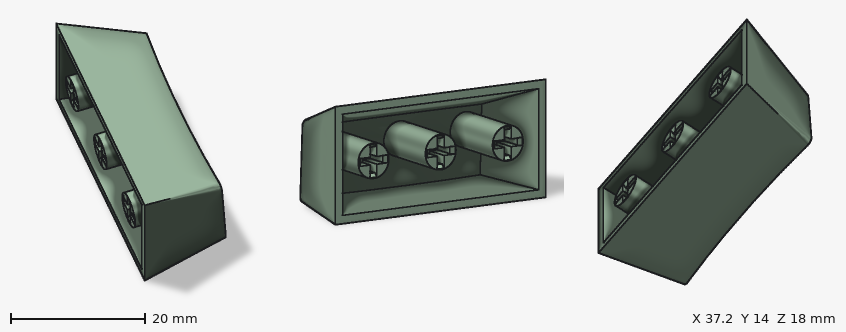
import cadquery as cq
import math

width = 37.15
height = 18.0
depth = 14.0

back_width = 31.95
back_low_z = 0.45
back_high_z = 13.4
back_high_y = 13.3
back_corner_radius = 1.0
rim_corner_radius = 0.02
dish_sag = 0.67

side_wall = 1.25
end_wall = 1.3
floor_width = 29.65
floor_low_z = 1.67
floor_high_z = 12.52
floor_low_y = 12.37
floor_high_y = 11.95
floor_sag = 0.55

stem_count = 3
stem_pitch = 11.85
stem_diameter = 5.42
stem_z = height / 2
slot_width = 1.2
slot_length = 3.98
slot_depth = 4.0
lead_in = 0.55


def section_plane(low, high):
    """Plane parallel to X through two (y, z) points, centred midway between them."""
    rise_y = high[0] - low[0]
    rise_z = high[1] - low[1]
    middle = (0, (low[0] + high[0]) / 2, (low[1] + high[1]) / 2)
    return cq.Plane(origin=middle, xDir=(1, 0, 0), normal=(0, -rise_z, rise_y))


def section(low, high, section_width, corner_radius=0):
    """Rectangle, optionally rounded, spanning two (y, z) points."""
    sketch = cq.Sketch().rect(section_width, math.dist(low, high))
    if corner_radius:
        sketch = sketch.vertices().fillet(corner_radius)
    return sketch.moved(cq.Location(section_plane(low, high)))


def dish(low, high, chord, sag):
    """Cylinder along the tilted section that bulges by sag towards the rim."""
    radius = (chord**2 / 4 + sag**2) / (2 * sag)
    length = 2 * height
    plane = section_plane(low, high)
    axis = cq.Plane(
        origin=plane.toWorldCoords((0, -length / 2, sag - radius)),
        xDir=(1, 0, 0),
        normal=plane.yDir,
    )
    return cq.Workplane(axis).circle(radius).extrude(length)


def tapered_block(rim, back):
    return cq.Workplane().placeSketch(rim, back).loft(ruled=True)


def outer_body():
    rim = section((0, 0), (0, height), width, rim_corner_radius)
    low = (depth, back_low_z)
    high = (back_high_y, back_high_z)
    back = section(low, high, back_width, back_corner_radius)
    return tapered_block(rim, back).cut(dish(low, high, back_width, dish_sag))


def cavity():
    rim = section((0, end_wall), (0, height - end_wall), width - 2 * side_wall)
    low = (floor_low_y, floor_low_z)
    high = (floor_high_y, floor_high_z)
    floor = section(low, high, floor_width)
    return tapered_block(rim, floor).cut(dish(low, high, floor_width, floor_sag))


def socket_slot():
    """One slot along X, flared at both ends towards the mouth."""
    half = slot_length / 2
    profile = [
        (-half - lead_in, 0),
        (half + lead_in, 0),
        (half, lead_in),
        (half, slot_depth),
        (-half, slot_depth),
        (-half, lead_in),
    ]
    return cq.Workplane("XY").polyline(profile).close().extrude(slot_width / 2, both=True)


def stem():
    """Stem along +Y from the rim plane, long enough to end inside the back wall."""
    length = floor_low_y
    post = cq.Workplane("XZ").circle(stem_diameter / 2).extrude(-length)
    slot = socket_slot()
    return post.cut(slot).cut(slot.rotate((0, 0, 0), (0, 1, 0), 90))


result = outer_body().cut(cavity())
for index in range(stem_count):
    stem_x = (index - (stem_count - 1) / 2) * stem_pitch
    result = result.union(stem().translate((stem_x, 0, stem_z)))